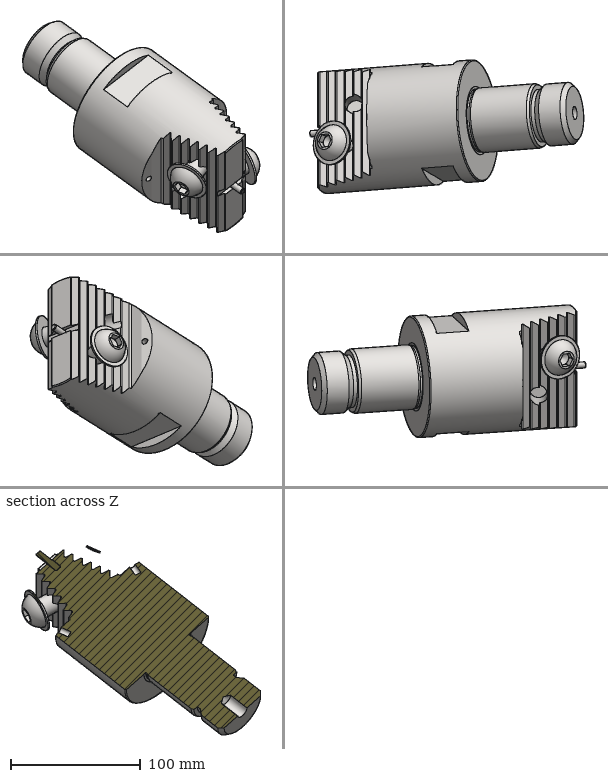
import cadquery as cq
import math


head_diameter = 94.0
head_radius = head_diameter / 2
collar_x = 79.1
body_end_x = 207.0
rim_chamfer = 0.9
shank_diameter = 50.0
shank_radius = shank_diameter / 2
nose_radius = 24.0
nose_chamfer = 3.5
neck_radius = 20.3
neck_slope_x = 21.0
neck_start_x = 25.5
neck_end_x = 28.5
shank_chamfer_x = 30.7
relief_start_x = 76.3
relief_slope_length = 1.5
relief_radius = 24.5
relief_outer_radius = 26.4
relief_face_depth = 0.2
center_hole_radius = 5.0
center_hole_depth = 17.3
drill_point_angle = 118

flat_start_x = 90.8
flat_length = 25.5
flat_height = 40.0

taper_angle = 15
tooth_pitch = 8.0
tooth_flat = 1.0
flank_angle = 30
tooth_gap_count = 7
first_crest_x = 157.2
first_crest_y = 27.7
wall_x = 155.7
wall_bend_y = 38.3
outlet_radius = 2.4
outlet_depth = 8.6
outlet_y = 40.9

tooth_depth = (tooth_pitch - 2 * tooth_flat) / 2 / math.tan(math.radians(flank_angle))

screw_along = 3.5 * tooth_pitch
screw_z = 16.0
screw_radius = 8.0
screw_length = 35.0
tail_hole_radius = 7.0
screw_head_radius = 14.0
screw_head_height = 8.9
head_top_radius = 7.0
socket_width = 10.0
socket_depth = 5.2
washer_radius = 17.0
washer_thickness = 1.5
washer_gap = 10.8

pin_diameter = 5.0
pin_radius = pin_diameter / 2
pin_length = 21.6
pin_chamfer = 0.6
pin_end_x = 216.2
slot_depth = 3.0

through = 2 * head_diameter
sin_taper = math.sin(math.radians(taper_angle))
cos_taper = math.cos(math.radians(taper_angle))
side_turns = (0, 180)


def taper_point(along, out):
    """XY point given by distances along the crest line and outward from it, on the +Y side."""
    return (
        first_crest_x + along * cos_taper + out * sin_taper,
        first_crest_y - along * sin_taper + out * cos_taper,
    )


def turn_about_x(shape, turn):
    return shape.rotate((0, 0, 0), (1, 0, 0), turn)


def screw_plane(out):
    """Plane across the screw axis of the +Y side, at a distance outward from the crests."""
    x, y = taper_point(screw_along, out)
    along_direction = (cos_taper, -sin_taper, 0)
    out_direction = (sin_taper, cos_taper, 0)
    return cq.Plane(origin=(x, y, -screw_z), xDir=along_direction, normal=out_direction)


def round_body():
    nose_end_radius = nose_radius - nose_chamfer
    profile = [
        (0, 0),
        (0, nose_end_radius),
        (nose_chamfer, nose_radius),
        (neck_slope_x, nose_radius),
        (neck_start_x, neck_radius),
        (neck_end_x, neck_radius),
        (neck_end_x, nose_radius),
        (shank_chamfer_x, shank_radius),
        (relief_start_x, shank_radius),
        (relief_start_x + relief_slope_length, relief_radius),
        (collar_x + relief_face_depth, relief_radius),
        (collar_x + relief_face_depth, relief_outer_radius),
        (collar_x, relief_outer_radius),
        (collar_x, head_radius - rim_chamfer),
        (collar_x + rim_chamfer, head_radius),
        (body_end_x - rim_chamfer, head_radius),
        (body_end_x, head_radius - rim_chamfer),
        (body_end_x, 0),
    ]
    return cq.Workplane("XZ").polyline(profile).close().revolve(360, (0, 0, 0), (1, 0, 0))


def drill_point_length(radius):
    """Length of the cone that a drill of this radius leaves."""
    return radius / math.tan(math.radians(drill_point_angle / 2))


def center_hole():
    profile = [
        (0, 0),
        (0, center_hole_radius),
        (center_hole_depth, center_hole_radius),
        (center_hole_depth + drill_point_length(center_hole_radius), 0),
    ]
    return cq.Workplane("XZ").polyline(profile).close().revolve(360, (0, 0, 0), (1, 0, 0))


def wrench_flat():
    flat_center_x = flat_start_x + flat_length / 2
    return (
        cq.Workplane("XY", origin=(flat_center_x, 0, flat_height))
        .rect(flat_length, through)
        .extrude(head_radius)
    )


def wall_lean(y):
    """X of the leaning upper part of the wall at a given distance from the axis."""
    return wall_x - (y - wall_bend_y) * math.tan(math.radians(taper_angle))


def toothed_side_cut():
    """Everything outside the teeth on the +Y side, back to the wall."""
    clear_y = head_radius + tooth_pitch
    clear_x = body_end_x + tooth_pitch
    crest_y_at_wall = first_crest_y + (first_crest_x - wall_x) * sin_taper / cos_taper
    half_flat = tooth_flat / 2
    half_pitch = tooth_pitch / 2

    outline = [(wall_lean(clear_y), clear_y), (wall_x, wall_bend_y), (wall_x, crest_y_at_wall)]
    for gap in range(tooth_gap_count):
        crest = gap * tooth_pitch
        root = crest + half_pitch
        outline += [
            taper_point(crest + half_flat, 0),
            taper_point(root - half_flat, -tooth_depth),
            taper_point(root + half_flat, -tooth_depth),
            taper_point(crest + tooth_pitch - half_flat, 0),
        ]
    outline.append((clear_x, clear_y))
    return cq.Workplane("XY").polyline(outline).close().extrude(through / 2, both=True)


def outlet_hole():
    """Blind hole square to the leaning part of the wall."""
    mouth_center = (wall_lean(outlet_y), outlet_y, 0)
    mouth = cq.Plane(origin=mouth_center, xDir=(0, 0, 1), normal=(cos_taper, sin_taper, 0))
    return cq.Workplane(mouth).circle(outlet_radius).extrude(-outlet_depth)


def screw_hole():
    """Hole for the screw, narrower beyond its tip and open on the opposite side."""
    tip_out = washer_gap + washer_thickness - screw_length
    bore = cq.Workplane(screw_plane(tip_out)).circle(screw_radius).extrude(screw_length)
    tail = cq.Workplane(screw_plane(tip_out)).circle(tail_hole_radius).extrude(-through / 2)
    return bore.union(tail)


def pin_slot():
    """Slot across the end face along Y, as high as the pin."""
    slot_center_x = body_end_x - slot_depth / 2
    return cq.Workplane("XY", origin=(slot_center_x, 0, 0)).box(slot_depth, through, pin_diameter)


def pin_cylinder():
    pin_start = cq.Workplane("YZ", origin=(pin_end_x - pin_length, 0, 0))
    return pin_start.circle(pin_radius).extrude(pin_length)


def make_body():
    body = round_body().cut(center_hole())
    for turn in side_turns:
        body = body.cut(turn_about_x(wrench_flat(), turn))
        body = body.cut(turn_about_x(toothed_side_cut(), turn))
        body = body.cut(turn_about_x(outlet_hole(), turn))
    for turn in side_turns:
        body = body.cut(turn_about_x(screw_hole(), turn))
    return body.cut(pin_slot()).cut(pin_cylinder())


def make_pin():
    return pin_cylinder().faces(">X").edges().chamfer(pin_chamfer)


def make_washer():
    ring = cq.Workplane(screw_plane(washer_gap)).circle(washer_radius).circle(screw_radius)
    return ring.extrude(washer_thickness)


def make_screw():
    """Button-head screw: the head is a slice of a ball, its hexagon socket ends in a drill point."""
    ball_center = (
        (head_top_radius ** 2 + screw_head_height ** 2 - screw_head_radius ** 2) / (2 * screw_head_height)
    )
    ball_radius = math.hypot(screw_head_radius, ball_center)
    middle_height = screw_head_height / 2
    middle_radius = math.sqrt(ball_radius ** 2 - (middle_height - ball_center) ** 2)

    seat = screw_plane(washer_gap + washer_thickness)
    half_profile_plane = cq.Plane(origin=seat.origin, xDir=seat.xDir, normal=(0, 0, 1))
    screw = (
        cq.Workplane(half_profile_plane)
        .moveTo(0, -screw_length)
        .lineTo(screw_radius, -screw_length)
        .lineTo(screw_radius, 0)
        .lineTo(screw_head_radius, 0)
        .threePointArc((middle_radius, middle_height), (head_top_radius, screw_head_height))
        .lineTo(0, screw_head_height)
        .close()
        .revolve(360, (0, 0, 0), (0, 1, 0))
    )
    corner_diameter = socket_width / math.cos(math.pi / 6)
    socket_floor = screw_plane(washer_gap + washer_thickness + screw_head_height - socket_depth)
    socket = cq.Workplane(socket_floor).polygon(6, corner_diameter).extrude(socket_depth)
    point_radius = socket_width / 2
    drill_point = cq.Solid.makeCone(
        point_radius,
        0,
        drill_point_length(point_radius),
        pnt=socket_floor.origin,
        dir=-socket_floor.zDir,
    )
    return screw.cut(socket).cut(cq.Workplane(obj=drill_point))


body = make_body()
pin = make_pin()
washers = [turn_about_x(make_washer(), turn) for turn in side_turns]
screws = [turn_about_x(make_screw(), turn) for turn in side_turns]

result = cq.Compound.makeCompound(
    [body.val(), pin.val()] + [washer.val() for washer in washers] + [screw.val() for screw in screws]
)